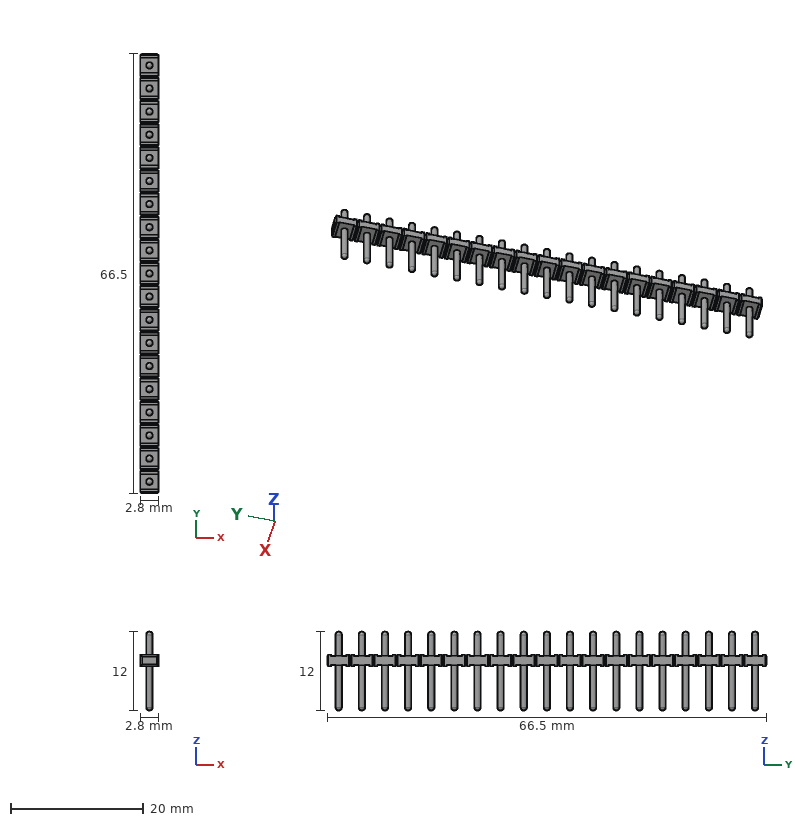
import cadquery as cq
import math

pin_count = 19
strip_length = 66.5
pitch = strip_length / pin_count
body_width = 2.8

web_height = 1.4
rib_height = 1.8
rib_width = 0.4
bevel_length = 0.2
bevel_inset = 0.3
body_center_z = 1.6

pin_diameter = 1.0
pin_length = 12.0


def make_bevelled_end():
    """The +Y end of a cell, tapering on all four sides to a smaller end face."""
    return (
        cq.Workplane("XZ", origin=(0, pitch / 2 - bevel_length, 0))
        .rect(body_width, rib_height)
        .workplane(offset=-bevel_length)
        .rect(body_width - 2 * bevel_inset, rib_height - 2 * bevel_inset)
        .loft(ruled=True)
    )


def make_cell():
    """One insulator cell: a low web between two raised ribs, with bevelled ends."""
    web = cq.Workplane("XY").box(body_width, pitch - 2 * bevel_length, web_height)
    rib_y = pitch / 2 - bevel_length - rib_width / 2
    rib = cq.Workplane("XY").box(body_width, rib_width, rib_height).translate((0, rib_y, 0))
    end = rib.union(make_bevelled_end())
    cell = web.union(end).union(end.mirror("XZ"))
    return cell.translate((0, 0, body_center_z))


def make_pin():
    """Round pin along Z with a hemispherical dome on each end."""
    radius = pin_diameter / 2
    tip_z = pin_length / 2
    dome_z = tip_z - radius
    diagonal = radius * math.sqrt(0.5)
    half_profile = (
        cq.Workplane("YZ")
        .moveTo(0, tip_z)
        .threePointArc((-diagonal, dome_z + diagonal), (-radius, dome_z))
        .lineTo(-radius, -dome_z)
        .threePointArc((-diagonal, -dome_z - diagonal), (0, -tip_z))
        .close()
    )
    return half_profile.revolve(360, (0, 0), (0, 1))


cell_and_pin = make_cell().union(make_pin())
first_y = -(pin_count - 1) / 2 * pitch
result = cell_and_pin.translate((0, first_y, 0))
for index in range(1, pin_count):
    result = result.union(cell_and_pin.translate((0, first_y + index * pitch, 0)))